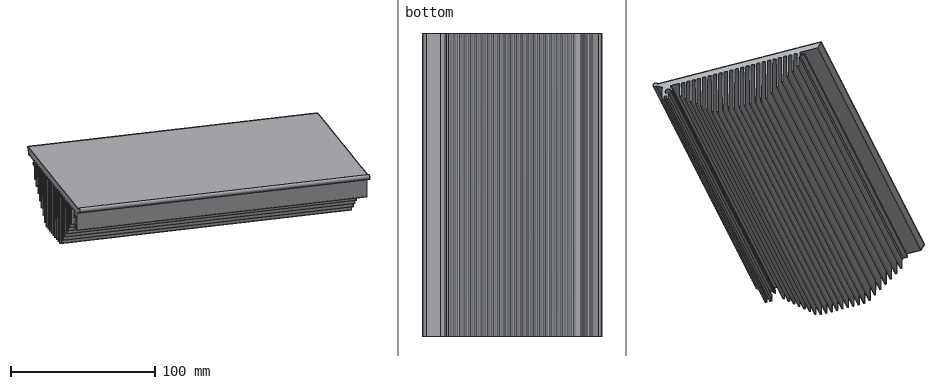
import cadquery as cq
import math

length = 210.0
width = 124.1
height = 44.5

left_x = -width / 2
right_x = width / 2
top_z = height / 2
bottom_z = -height / 2

plate_thickness = 5.0
edge_slant = 2.7
nose_radius = 0.5
bead_rise = 1.5
plate_top = top_z - bead_rise
plate_bottom = plate_top - plate_thickness

bead_radius = 1.72
bead_x = right_x - bead_radius
bead_z = top_z - bead_radius
bead_start_angle = 180 - math.degrees(math.asin((plate_top - bead_z) / bead_radius))
bead_end_angle = 250
underside_start_z = 16.4

fin_count = 23
middle_fin_x = -1.58
outer_fin_steps = 4
outer_fin_reach = 15.3
inner_fin_reach = 28.0
middle_index = (fin_count - 1) // 2
inner_fin_steps = middle_index - outer_fin_steps
inner_pitch = inner_fin_reach / inner_fin_steps
outer_pitch = outer_fin_reach / outer_fin_steps

fin_root_thickness = 1.5
fin_side_draft = 0.36
fin_root_fillet = 1.0
outer_fin_tip_z = 2.7

arm_root_left = -46.5
arm_root_right = -44.0
arm_tip_x = -49.5
arm_top_z = 13.6
arm_thickness = 1.3
arm_bottom_z = arm_top_z - arm_thickness
arm_root_bottom_z = 11.1
arm_shoulder_z = 12.8

leg_left = 50.5
leg_right = 55.2
leg_bottom = 3.5
hook_left = 49.0
hook_waist_z = 14.5
claw_x = 47.7
claw_shoulder_z = 12.5
claw_tip_z = 10.0
channel_radius = 2.0
channel_x = 51.0
channel_z = 11.1
channel_claw_angle = 188
channel_leg_angle = -107
slot_left = 51.9
slot_right = 54.0
slot_top = 6.7


def on_circle(x, z, radius, angle):
    """Point on a circle at an angle in degrees, measured from +X toward +Z."""
    a = math.radians(angle)
    return x + radius * math.cos(a), z + radius * math.sin(a)


def fin_x(index):
    """Centre of a fin, counted from the left."""
    offset = index - middle_index
    steps = abs(offset)
    inner = min(steps, inner_fin_steps)
    reach = inner * inner_pitch + (steps - inner) * outer_pitch
    return middle_fin_x + math.copysign(reach, offset)


def fin_tip_z(index):
    """Tip level of a fin: falling at 45 degrees from both sides to a common lowest level."""
    distance_from_side = inner_fin_reach + outer_fin_reach - abs(fin_x(index) - middle_fin_x)
    return max(outer_fin_tip_z - distance_from_side, bottom_z)


def fin_half(z):
    """Half thickness of a fin at a level below the plate."""
    return fin_root_thickness / 2 - (plate_bottom - z) * math.tan(math.radians(fin_side_draft))


def draw_bead(outline):
    middle_angle = (bead_start_angle + bead_end_angle - 360) / 2
    return (
        outline
        .lineTo(*on_circle(bead_x, bead_z, bead_radius, bead_start_angle))
        .threePointArc(
            on_circle(bead_x, bead_z, bead_radius, middle_angle),
            on_circle(bead_x, bead_z, bead_radius, bead_end_angle),
        )
        .lineTo(leg_right, underside_start_z)
    )


def draw_hook_leg(outline):
    """Down the outer wall, around the slot and channel, back up to the plate."""
    def channel(angle):
        return on_circle(channel_x, channel_z, channel_radius, angle)

    neck = channel(channel_leg_angle)
    return (
        outline
        .lineTo(leg_right, leg_bottom)
        .lineTo(slot_right, leg_bottom)
        .lineTo(slot_right, slot_top)
        .lineTo(slot_left, slot_top)
        .lineTo(slot_left, leg_bottom)
        .lineTo(leg_left, leg_bottom)
        .lineTo(*neck)
        .threePointArc(
            channel((channel_leg_angle + channel_claw_angle) / 2),
            channel(channel_claw_angle),
        )
        .lineTo(claw_x, claw_tip_z)
        .lineTo(claw_x, claw_shoulder_z)
        .lineTo(hook_left, hook_waist_z)
        .lineTo(hook_left, plate_bottom)
    )


def draw_root_fillet(outline, wall_x, side):
    """Concave fillet between the plate and the right (+1) or left (-1) wall of a fin.

    The right wall is drawn from the plate down, the left wall from the fin up.
    """
    centre_x = wall_x + side * fin_root_fillet
    centre_z = plate_bottom - fin_root_fillet
    on_plate = (centre_x, plate_bottom)
    middle = on_circle(centre_x, centre_z, fin_root_fillet, 90 + side * 45)
    on_wall = (wall_x, centre_z)
    if side > 0:
        return outline.lineTo(*on_plate).threePointArc(middle, on_wall)
    return outline.lineTo(*on_wall).threePointArc(middle, on_plate)


def draw_fin_tip(outline, index):
    """Right wall down to the rounded tip, ending at the foot of the left wall."""
    x = fin_x(index)
    tip_z = fin_tip_z(index)
    tip_half = fin_half(tip_z)
    return (
        outline
        .lineTo(x + tip_half, tip_z + tip_half)
        .threePointArc((x, tip_z), (x - tip_half, tip_z + tip_half))
    )


def draw_fin(outline, index):
    x = fin_x(index)
    root_half = fin_half(plate_bottom - fin_root_fillet)
    outline = draw_root_fillet(outline, x + root_half, 1)
    outline = draw_fin_tip(outline, index)
    return draw_root_fillet(outline, x - root_half, -1)


def draw_arm_fin(outline):
    """First fin with its thick root and the tongue pointing left."""
    x = fin_x(0)
    neck_half = fin_half(arm_root_bottom_z)
    outline = (
        draw_root_fillet(outline, arm_root_right, 1)
        .lineTo(arm_root_right, arm_shoulder_z)
        .lineTo(x + neck_half, arm_root_bottom_z)
    )
    return (
        draw_fin_tip(outline, 0)
        .lineTo(x - neck_half, arm_root_bottom_z)
        .lineTo(arm_root_left, arm_bottom_z)
        .lineTo(arm_tip_x, arm_bottom_z)
        .lineTo(arm_tip_x, arm_top_z)
        .lineTo(arm_root_left, arm_top_z)
        .lineTo(arm_root_left, plate_bottom)
    )


def draw_left_edge(outline):
    """Slanted edge up to the rounded nose, ending on the plate face."""
    return (
        outline
        .lineTo(left_x + edge_slant, plate_bottom)
        .lineTo(left_x, plate_top - nose_radius)
        .threePointArc(
            on_circle(left_x + nose_radius, plate_top - nose_radius, nose_radius, 135),
            (left_x + nose_radius, plate_top),
        )
    )


section = cq.Workplane("XZ").moveTo(left_x + nose_radius, plate_top)
section = draw_bead(section)
section = draw_hook_leg(section)
for fin_index in range(fin_count - 1, 0, -1):
    section = draw_fin(section, fin_index)
section = draw_arm_fin(section)
section = draw_left_edge(section)

result = section.close().extrude(length / 2, both=True)